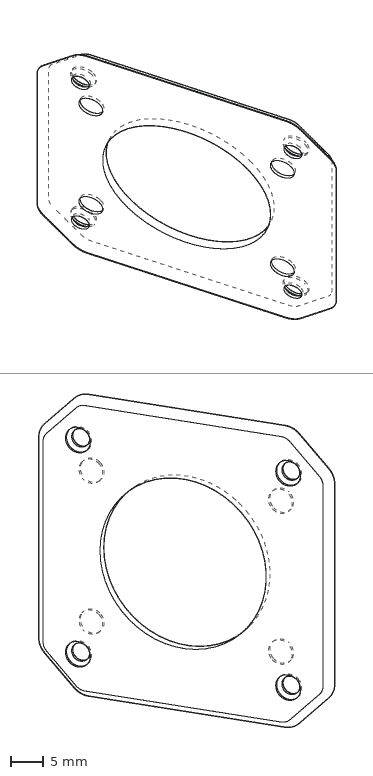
import cadquery as cq
side = 50.0
thickness = 1.5
corner_cut = 7.0
corner_radius = 3.5

rim_height = 0.15
bevel_size = thickness - rim_height

bore_diameter = 28.05

screw_spacing = 35.5
neck_diameter = 3.0
neck_length = 0.5
seat_depth = 0.6
recess_diameter = neck_diameter + 2 * seat_depth

pocket_diameter = 4.0
pocket_depth = 0.5
pocket_spacing_x = 32.0
pocket_spacing_z = 25.0


def front_face_plane():
    """XZ plane whose normal points toward +Y, into the plate."""
    return cq.Workplane(cq.Plane(origin=(0, 0, 0), xDir=(1, 0, 0), normal=(0, 1, 0)))


def beveled_plate():
    plate = front_face_plane().rect(side, side).extrude(thickness)
    plate = plate.edges("|Y").chamfer(corner_cut)
    plate = plate.edges("|Y").fillet(corner_radius)
    return plate.faces(">Y").edges().chamfer(bevel_size)


def screw_hole():
    """Stepped cutter for one screw hole, revolved about the Y axis."""
    neck_radius = neck_diameter / 2
    recess_radius = recess_diameter / 2
    profile = (
        cq.Workplane("XY")
        .moveTo(0, 0)
        .lineTo(neck_radius, 0)
        .lineTo(neck_radius, neck_length)
        .lineTo(recess_radius, neck_length + seat_depth)
        .lineTo(recess_radius, thickness)
        .lineTo(0, thickness)
        .close()
    )
    return profile.revolve(360, (0, 0, 0), (0, 1, 0))


bore = front_face_plane().circle(bore_diameter / 2).extrude(thickness)
pocket = front_face_plane().circle(pocket_diameter / 2).extrude(pocket_depth)
hole = screw_hole()

result = beveled_plate().cut(bore)
for side_x in (-1, 1):
    for side_z in (-1, 1):
        hole_place = (side_x * screw_spacing / 2, 0, side_z * screw_spacing / 2)
        pocket_place = (side_x * pocket_spacing_x / 2, 0, side_z * pocket_spacing_z / 2)
        result = result.cut(hole.translate(hole_place))
        result = result.cut(pocket.translate(pocket_place))